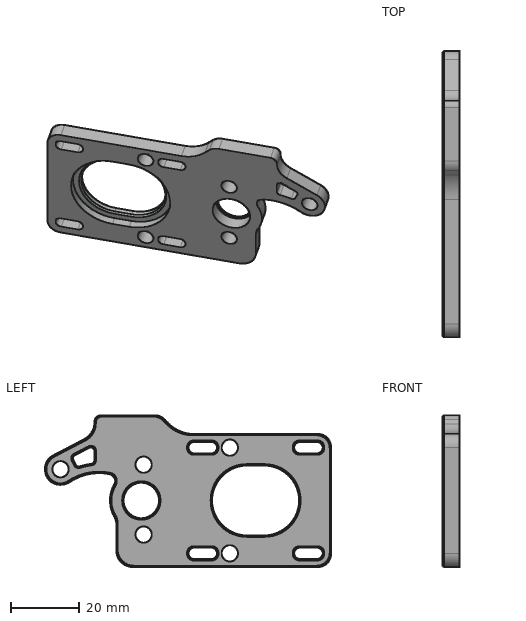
import cadquery as cq
import math


overall_length = 83.9
thickness = 5.0
edge_chamfer = 0.5
plate_right = -22.15
plate_left = 40.9
plate_half_height = 19.55
plate_corner_radius = 4.0
lower_left_radius = 5.0

shoulder_top = 25.0
shoulder_left = 47.25
shoulder_ramp_start = 27.95
shoulder_ramp_end = shoulder_ramp_start - (shoulder_top - plate_half_height)
shoulder_left_radius = 2.0
shoulder_ramp_radius = 4.0
shoulder_foot_radius = 10.1

bearing_y = 33.5
bearing_diameter = 10.3
bearing_seat_diameter = 11.3
bearing_seat_depth = 4.0
bulge_radius = 9.2
bulge_foot_radius = 4.0

arm_tip_radius = 4.6
arm_y = overall_length + plate_right - arm_tip_radius
arm_z = 9.15
arm_angle = math.radians(27.5)
arm_root_radius = 5.45

gear_radius = 15.6
gear_top = 8.0
gear_z = gear_top - gear_radius
gear_y = arm_y - math.sqrt((gear_radius + arm_tip_radius) ** 2 - (arm_z - gear_z) ** 2)
gear_corner_radius = 2.0

window_wall = 2.9
window_right = 47.25
window_corner_radius = 1.0

motor_travel = 5.0
motor_opening_height = 20.4
motor_seat_margin = 2.3
motor_seat_depth = 2.5
slot_spacing = 31.0
slot_width = 3.3

screw_diameter = 4.7
motor_screw_y = 7.55
bearing_screw_y = 32.8
bearing_screw_middle_z = 0.25
bearing_screw_spacing = 20.5


def on_circle(center, radius, angle):
    """Point at an angle on a circle, measured from +Y towards +Z."""
    return (center[0] + radius * math.cos(angle), center[1] + radius * math.sin(angle))


def angle_to(center, point):
    return math.atan2(point[1] - center[1], point[0] - center[0])


def mid_arc(center, radius, start, end):
    """Middle point of the arc between two points on a circle."""
    return on_circle(center, radius, (angle_to(center, start) + angle_to(center, end)) / 2)


def upper_crossing(center_a, radius_a, center_b, radius_b):
    """Upper crossing point of two circles, where circle b lies at larger Y than circle a."""
    distance = math.dist(center_a, center_b)
    cosine = (radius_a**2 + distance**2 - radius_b**2) / (2 * radius_a * distance)
    return on_circle(center_a, radius_a, angle_to(center_a, center_b) + math.acos(cosine))


def round_corner(body, point, radius):
    """Round the edge along X that passes through a point of the outline."""
    corner = cq.selectors.NearestToPointSelector((thickness / 2, *point))
    return body.edges("|X").edges(corner).fillet(radius)


def prism(points):
    return cq.Workplane("YZ").polyline(points).close().extrude(thickness)


def cylinders(centers, radius):
    return cq.Workplane("YZ").pushPoints(centers).circle(radius).extrude(thickness)


arm_tip = (arm_y, arm_z)
gear = (gear_y, gear_z)
bearing = (bearing_y, 0)
arm_normal = math.pi / 2 - arm_angle


def arm_line_z(offset, y):
    """Height at y of the line parallel to the arm's top edge, at an offset from the arm's axis."""
    return arm_z + offset / math.cos(arm_angle) + (arm_y - y) * math.tan(arm_angle)


def make_plate():
    bottom_right = (plate_right, -plate_half_height)
    top_right = (plate_right, plate_half_height)
    ramp_foot = (shoulder_ramp_end, plate_half_height)
    ramp_head = (shoulder_ramp_start, shoulder_top)
    shoulder_corner = (shoulder_left, shoulder_top)
    arm_root = (shoulder_left, arm_line_z(arm_tip_radius, shoulder_left))
    tip_start = on_circle(arm_tip, arm_tip_radius, arm_normal)
    tip_end = on_circle(arm_tip, arm_tip_radius, angle_to(arm_tip, gear))
    gear_corner = upper_crossing(bearing, bulge_radius, gear, gear_radius)
    bulge_foot = (plate_left, -math.sqrt(bulge_radius**2 - (plate_left - bearing_y) ** 2))
    bottom_left = (plate_left, -plate_half_height)

    outline = (
        cq.Workplane("YZ")
        .polyline([bottom_right, top_right, ramp_foot, ramp_head, shoulder_corner, arm_root, tip_start])
        .threePointArc((arm_y + arm_tip_radius, arm_z), tip_end)
        .threePointArc(mid_arc(gear, gear_radius, tip_end, gear_corner), gear_corner)
        .threePointArc(mid_arc(bearing, bulge_radius, gear_corner, bulge_foot), bulge_foot)
        .lineTo(*bottom_left)
        .close()
    )
    plate = outline.extrude(thickness)

    for point, radius in (
        (bottom_right, plate_corner_radius),
        (top_right, plate_corner_radius),
        (bottom_left, lower_left_radius),
        (ramp_foot, shoulder_foot_radius),
        (ramp_head, shoulder_ramp_radius),
        (shoulder_corner, shoulder_left_radius),
        (arm_root, arm_root_radius),
        (gear_corner, gear_corner_radius),
        (bulge_foot, bulge_foot_radius),
    ):
        plate = round_corner(plate, point, radius)
    return plate


def make_arm_window():
    """Window with an even wall to the arm's top edge, the screw hole's boss and the gear clearance."""
    top_offset = arm_tip_radius - window_wall
    window = prism(
        [
            (window_right, arm_line_z(top_offset, window_right)),
            (arm_y, arm_line_z(top_offset, arm_y)),
            gear,
            (window_right, gear_z),
        ]
    )
    window = window.cut(cylinders([arm_tip], arm_tip_radius))
    window = window.cut(cylinders([gear], gear_radius + window_wall))
    return window.edges("|X").fillet(window_corner_radius)


def make_slots(centers, width):
    slots = cq.Workplane("YZ").pushPoints(centers)
    return slots.slot2D(motor_travel + width, width).extrude(thickness)


half_spacing = slot_spacing / 2
slot_centers = [(y, z) for y in (-half_spacing, half_spacing) for z in (-half_spacing, half_spacing)]

plate = make_plate()
plate = plate.cut(make_arm_window())
plate = plate.cut(cylinders([bearing], bearing_diameter / 2))
plate = plate.cut(make_slots([(0, 0)], motor_opening_height))
plate = plate.cut(make_slots(slot_centers, slot_width))
plate = plate.faces("<X").edges().chamfer(edge_chamfer)

bearing_seat = cylinders([bearing], bearing_seat_diameter / 2)
plate = plate.cut(bearing_seat.translate((thickness - bearing_seat_depth, 0, 0)))
motor_seat = make_slots([(0, 0)], motor_opening_height + 2 * motor_seat_margin)
plate = plate.cut(motor_seat.translate((thickness - motor_seat_depth, 0, 0)))

seat_edge = make_slots([(0, 0)], motor_opening_height + 2 * edge_chamfer)
seat_edge = seat_edge.faces("<X").edges().chamfer(edge_chamfer)
plate = plate.cut(seat_edge.translate((thickness - motor_seat_depth - edge_chamfer, 0, 0)))

screw_centers = [arm_tip]
for side in (-1, 1):
    screw_centers.append((motor_screw_y, side * half_spacing))
    screw_centers.append((bearing_screw_y, bearing_screw_middle_z + side * bearing_screw_spacing / 2))

result = plate.cut(cylinders(screw_centers, screw_diameter / 2))